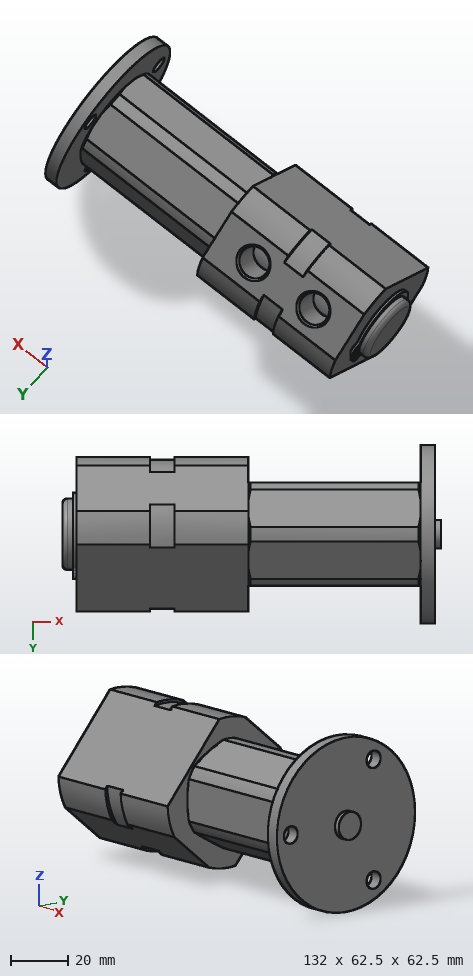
import cadquery as cq
import math

total_length = 132.0

rod_protrusion = 2.1
flange_thickness = 5.0
flange_diameter = 62.5
bolt_hole_diameter = 6.2
bolt_circle_radius = 25.0
bolt_hole_count = 3
flange_end = total_length - rod_protrusion
flange_start = flange_end - flange_thickness

housing_start = 4.9
housing_length = 59.9
housing_diameter = 54.0
plain_flats_width = 40.0
port_flats_width = 49.9
flats_tilt = 40.0
housing_middle = housing_start + housing_length / 2
housing_end = housing_start + housing_length

band_width = 8.5
band_diameter = 52.0

port_diameter = 11.5
port_chamfer = 0.8
port_spacing = 27.0

barrel_diameter = 39.1
barrel_across_flats = 36.0
barrel_chamfer_length = 0.8
barrel_chamfer_depth = 1.3
barrel_length = flange_start - housing_end

piston_diameter = 25.0
piston_tip_fillet = 1.8
rod_diameter = 10.0

ring_thickness = 1.2
ring_bore_diameter = 22.8
ring_outer_diameter = 27.5
ring_offset = 0.8
ring_start = housing_start - ring_thickness
lug_tip = 15.7
lugs_width = 10.8
lug_corner_radius = 2.0
lug_root_fillet = 1.5
lug_gap = 2.0
lug_hole_diameter = 2.0
lug_hole_distance = 13.2
lug_hole_spacing = 6.5


def cylinder(diameter, start, length):
    """Cylinder along the X axis."""
    return cq.Workplane("YZ", origin=(start, 0, 0)).circle(diameter / 2).extrude(length)


def prism(width, depth, start, length):
    """Bar along the X axis, `width` in Y and `depth` in Z."""
    return cq.Workplane("YZ", origin=(start, 0, 0)).rect(width, depth).extrude(length)


def make_port(x):
    """Cutter for one chamfered port that runs from the upper flat into the bore."""
    port_face = port_flats_width / 2
    port_radius = port_diameter / 2
    profile = [
        (0, 0),
        (port_radius, 0),
        (port_radius, port_face - port_chamfer),
        (port_radius + port_chamfer, port_face),
        (0, port_face),
    ]
    port = cq.Workplane("XZ").polyline(profile).close().revolve(360, (0, 0, 0), (0, 1, 0))
    return port.translate((x, 0, 0))


def make_housing():
    block = cylinder(housing_diameter, housing_start, housing_length)
    block = block.intersect(prism(plain_flats_width, port_flats_width, housing_start, housing_length))

    band_start = housing_middle - band_width / 2
    band = cylinder(housing_diameter, band_start, band_width)
    band = band.cut(cylinder(band_diameter, band_start, band_width))
    block = block.cut(band)

    block = block.cut(cylinder(piston_diameter, housing_start, housing_length))
    for side in (-1, 1):
        block = block.cut(make_port(housing_middle + side * port_spacing / 2))
    return block.rotate((0, 0, 0), (1, 0, 0), -flats_tilt)


def make_barrel():
    barrel_radius = barrel_diameter / 2
    end_radius = barrel_radius - barrel_chamfer_depth
    profile = [
        (housing_end, 0),
        (housing_end, end_radius),
        (housing_end + barrel_chamfer_length, barrel_radius),
        (flange_start - barrel_chamfer_length, barrel_radius),
        (flange_start, end_radius),
        (flange_start, 0),
    ]
    round_bar = cq.Workplane("XY").polyline(profile).close().revolve(360, (0, 0, 0), (1, 0, 0))

    hexagon_radius = barrel_across_flats / 2 / math.cos(math.pi / 6)
    corners = []
    for corner in range(6):
        angle = math.radians(30 + 60 * corner)
        corners.append((hexagon_radius * math.cos(angle), hexagon_radius * math.sin(angle)))
    hexagon = cq.Workplane("YZ", origin=(housing_end, 0, 0)).polyline(corners).close()
    barrel = round_bar.intersect(hexagon.extrude(barrel_length))
    return barrel.cut(cylinder(rod_diameter, housing_end, barrel_length))


def make_flange():
    flange = cylinder(flange_diameter, flange_start, flange_thickness)
    flange = flange.cut(cylinder(rod_diameter, flange_start, flange_thickness))
    for hole in range(bolt_hole_count):
        angle = math.pi + 2 * math.pi * hole / bolt_hole_count
        hole_y = bolt_circle_radius * math.cos(angle)
        hole_z = bolt_circle_radius * math.sin(angle)
        bolt_hole = cylinder(bolt_hole_diameter, flange_start, flange_thickness)
        flange = flange.cut(bolt_hole.translate((0, hole_y, hole_z)))
    return flange


def make_spindle():
    piston = cylinder(piston_diameter, 0, housing_end)
    piston = piston.faces("<X").edges().fillet(piston_tip_fillet)
    groove = cylinder(piston_diameter, ring_start, ring_thickness)
    groove = groove.cut(cylinder(ring_bore_diameter, ring_start, ring_thickness))
    rod = cylinder(rod_diameter, housing_end, total_length - housing_end)
    return piston.cut(groove).union(rod)


def make_retaining_ring():
    disc = cylinder(ring_outer_diameter, ring_start, ring_thickness).translate((0, -ring_offset, 0))

    lugs = prism(lug_tip, lugs_width, ring_start, ring_thickness).translate((0, lug_tip / 2, 0))
    lugs = lugs.edges("|X and >Y").fillet(lug_corner_radius)
    ring = disc.union(lugs)

    root_z = lugs_width / 2
    root_y = math.sqrt((ring_outer_diameter / 2) ** 2 - root_z ** 2) - ring_offset
    for side in (-1, 1):
        root = (ring_start + ring_thickness / 2, root_y, side * root_z)
        ring = ring.edges(cq.NearestToPointSelector(root)).fillet(lug_root_fillet)

    ring = ring.cut(cylinder(ring_bore_diameter, ring_start, ring_thickness))
    gap = prism(lug_tip, lug_gap, ring_start, ring_thickness).translate((0, lug_tip / 2, 0))
    ring = ring.cut(gap)
    for side in (-1, 1):
        lug_hole = cylinder(lug_hole_diameter, ring_start, ring_thickness)
        ring = ring.cut(lug_hole.translate((0, lug_hole_distance, side * lug_hole_spacing / 2)))
    return ring


housing = make_housing()
barrel = make_barrel()
flange = make_flange()
spindle = make_spindle()
retaining_ring = make_retaining_ring()

result = cq.Compound.makeCompound([
    housing.solids().val(),
    barrel.solids().val(),
    flange.solids().val(),
    spindle.solids().val(),
    retaining_ring.solids().val(),
])